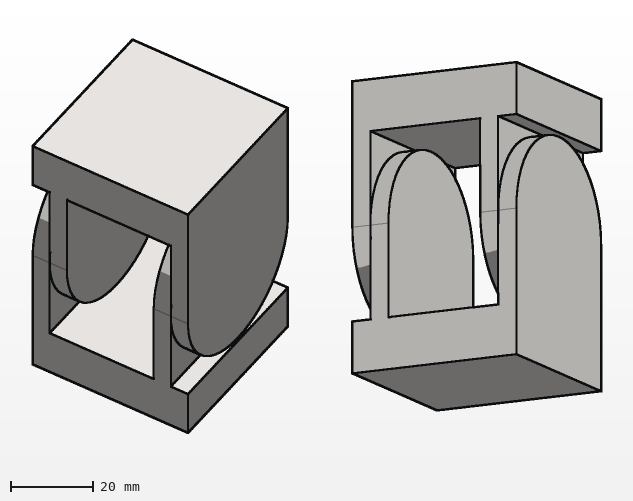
import cadquery as cq

width = 45.0
height = 73.0
base_thickness = 13.0
arm_thickness = 5.0

pivot_height = height / 2
arm_radius = width / 2
half_width = width / 2


def arm(x_start):
    """Round-ended arm rising from the base, with its outer face at x_start."""
    return (
        cq.Workplane("YZ", origin=(x_start, 0, 0))
        .moveTo(-arm_radius, 0)
        .lineTo(arm_radius, 0)
        .lineTo(arm_radius, pivot_height)
        .threePointArc((0, pivot_height + arm_radius), (-arm_radius, pivot_height))
        .close()
        .extrude(arm_thickness)
    )


def fork():
    """Base block with two arms, offset so that a second fork fits beside them."""
    body = cq.Workplane("XY").box(width, width, base_thickness, centered=(True, True, False))
    for x_start in (-half_width, half_width - 2 * arm_thickness):
        body = body.union(arm(x_start))
    return body


lower_fork = fork()
upper_fork = fork().rotate((0, 0, pivot_height), (0, 1, pivot_height), 180)

result = lower_fork.union(upper_fork)